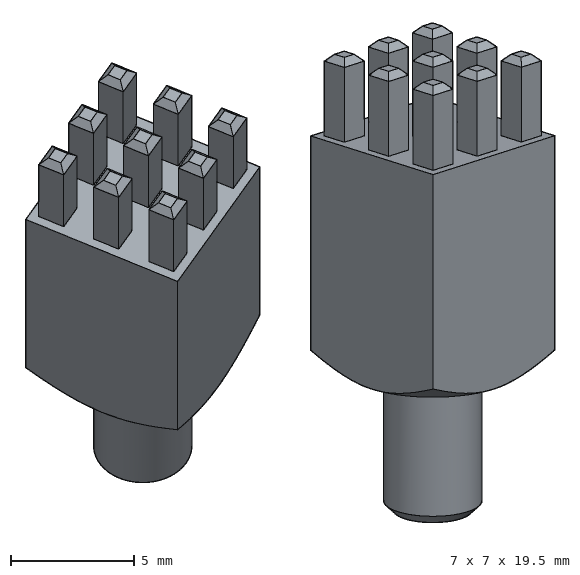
import cadquery as cq
import math

total_height = 19.5
body_width = 7.0
body_height = 10.0
pin_height = 3.5
pin_width = 1.15
pin_pitch = 2.54
pins_per_side = 3
pin_tip_chamfer = 0.3
shank_diameter = 4.0
shank_chamfer = 0.4
corner_bevel_angle = 30.0

shank_length = total_height - body_height - pin_height
body_top = shank_length + body_height


def make_body():
    """Square block whose lower corners are bevelled by a cone touching the side midlines."""
    block = cq.Workplane("XY", origin=(0, 0, shank_length)).rect(body_width, body_width).extrude(body_height)
    inner_radius = body_width / 2
    outer_radius = body_width
    bevel_rise = (outer_radius - inner_radius) * math.tan(math.radians(corner_bevel_angle))
    envelope = (
        cq.Workplane("XZ")
        .moveTo(0, shank_length)
        .lineTo(inner_radius, shank_length)
        .lineTo(outer_radius, shank_length + bevel_rise)
        .lineTo(outer_radius, body_top)
        .lineTo(0, body_top)
        .close()
        .revolve(360, (0, 0, 0), (0, 1, 0))
    )
    return block.intersect(envelope)


def make_shank():
    """Round shank with a chamfered free end, running up to the block."""
    shank = cq.Workplane("XY").circle(shank_diameter / 2).extrude(shank_length)
    return shank.faces("<Z").chamfer(shank_chamfer)


def make_pins():
    """Square grid of square pins with chamfered tips."""
    return (
        cq.Workplane("XY", origin=(0, 0, body_top))
        .rarray(pin_pitch, pin_pitch, pins_per_side, pins_per_side)
        .rect(pin_width, pin_width)
        .extrude(pin_height)
        .faces(">Z")
        .chamfer(pin_tip_chamfer)
    )


result = make_body().union(make_shank()).union(make_pins())